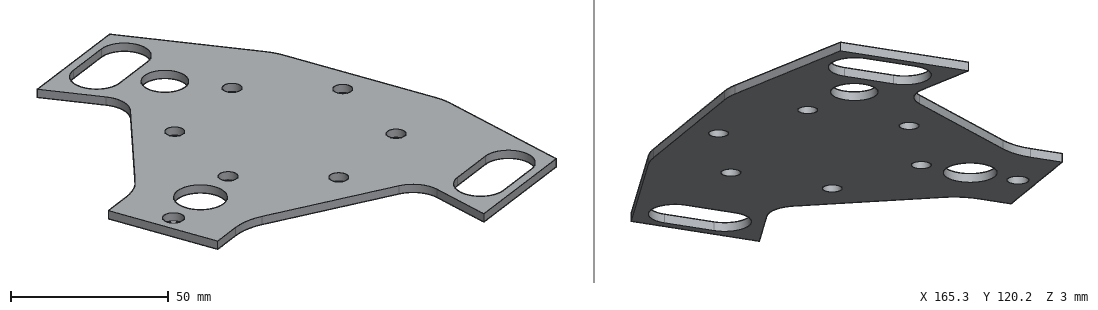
import cadquery as cq
import math

span = 165.3
depth = 120.2
thickness = 3.0
tail_width = 40.5
tail_corner_y = 16.9
arm_top_y = 104.0
arm_bottom_y = 59.7
arm_slope = 17.5
armpit_x = 53.9
shoulder_radius = 20.0
armpit_radius = 10.1
tail_radius = 20.0

ring_hole_diameter = 6.3
ring_hole_count = 6
ring_radius = 35.0
ring_center_y = 74.9
tail_hole_diameter = 7.0
tail_hole_y = 6.5
tail_opening_diameter = 17.0
tail_opening_y = 23.0
side_hole_diameter = 15.0
side_hole_x = -50.9
slot_width = 17.0
slot_length = 2 * slot_width
slot_x = 71.0
slot_y = 85.3

arm_rise = math.tan(math.radians(arm_slope))
shoulder_x = span / 2 - (depth - arm_top_y) / arm_rise
armpit_y = arm_bottom_y + (span / 2 - armpit_x) * arm_rise


def make_outline():
    """Extrude the plate symmetric about X = 0 and round its bends."""
    right_side = [
        (tail_width / 2, 0),
        (tail_width / 2, tail_corner_y),
        (armpit_x, armpit_y),
        (span / 2, arm_bottom_y),
        (span / 2, arm_top_y),
        (shoulder_x, depth),
    ]
    left_side = [(-x, y) for x, y in reversed(right_side)]
    plate = cq.Workplane("XY").polyline(right_side + left_side).close().extrude(thickness)

    bends = [
        (shoulder_x, depth, shoulder_radius),
        (armpit_x, armpit_y, armpit_radius),
        (tail_width / 2, tail_corner_y, tail_radius),
    ]
    for x, y, radius in bends:
        for side in (-1, 1):
            corner = cq.selectors.NearestToPointSelector((side * x, y, thickness / 2))
            plate = plate.edges("|Z").edges(corner).fillet(radius)
    return plate


def hole_cutter(points, diameter):
    """Cylinders through the full thickness at the given points."""
    return cq.Workplane("XY").pushPoints(points).circle(diameter / 2).extrude(thickness)


def slot_cutter():
    """One rounded slot along Y in each arm."""
    centers = [(-slot_x, slot_y), (slot_x, slot_y)]
    return cq.Workplane("XY").pushPoints(centers).slot2D(slot_length, slot_width, 90).extrude(thickness)


def ring_points():
    """Evenly spaced hole centers, starting at the top of the ring."""
    angles = [math.radians(90 + i * 360 / ring_hole_count) for i in range(ring_hole_count)]
    return [
        (ring_radius * math.cos(a), ring_center_y + ring_radius * math.sin(a))
        for a in angles
    ]


result = (
    make_outline()
    .cut(hole_cutter(ring_points(), ring_hole_diameter))
    .cut(hole_cutter([(0, tail_hole_y)], tail_hole_diameter))
    .cut(hole_cutter([(0, tail_opening_y)], tail_opening_diameter))
    .cut(hole_cutter([(side_hole_x, slot_y)], side_hole_diameter))
    .cut(slot_cutter())
)